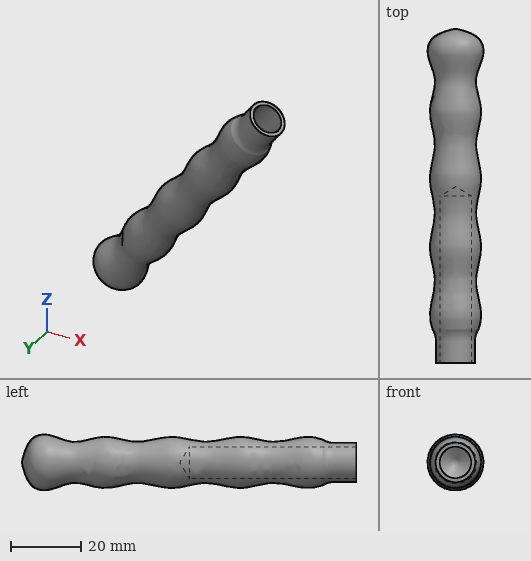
import cadquery as cq
import math

total_length = 95.0
collar_radius = 5.6
collar_length = 6.5
flare_end = 9.6
flare_end_radius = 6.6

crest_count = 4
crest_radius = 7.3
valley_radius = 5.9
first_crest = 13.5
crest_pitch = 19.5

neck_position = 80.75
knob_position = 89.1
knob_radius = 8.0
shoulder_position = 91.6
shoulder_radius = 7.1
crown_position = 93.3
crown_radius = 5.1

bore_radius = 4.5
bore_depth = 47.5
bore_tip_angle = 118.0


def flare_midpoint():
    """Middle of a concave arc that leaves the collar parallel to the axis."""
    rise = flare_end_radius - collar_radius
    run = flare_end - collar_length
    arc_radius = (rise**2 + run**2) / (2 * rise)
    half_angle = math.asin(run / arc_radius) / 2
    return (
        collar_radius + arc_radius * (1 - math.cos(half_angle)),
        collar_length + arc_radius * math.sin(half_angle),
    )


def grip_points():
    """Alternating crests and valleys as (radius, position along Y)."""
    points = []
    for i in range(crest_count):
        crest = first_crest + i * crest_pitch
        points.append((crest_radius, crest))
        is_last = i == crest_count - 1
        valley = neck_position if is_last else crest + crest_pitch / 2
        points.append((valley_radius, valley))
    return points


def make_handle():
    """Solid of revolution with a collar, flare, wavy grip and rounded knob."""
    knob_points = [
        (knob_radius, knob_position),
        (shoulder_radius, shoulder_position),
        (crown_radius, crown_position),
        (0, total_length),
    ]
    profile = (
        cq.Workplane("XY")
        .lineTo(collar_radius, 0)
        .lineTo(collar_radius, collar_length)
        .threePointArc(flare_midpoint(), (flare_end_radius, flare_end))
        .spline(grip_points() + knob_points, includeCurrent=True)
        .close()
    )
    return profile.revolve(360, (0, 0, 0), (0, 1, 0))


def make_bore():
    """Blind round bore with a conical bottom."""
    tip_height = bore_radius / math.tan(math.radians(bore_tip_angle / 2))
    profile = (
        cq.Workplane("XY")
        .lineTo(bore_radius, 0)
        .lineTo(bore_radius, bore_depth)
        .lineTo(0, bore_depth + tip_height)
        .close()
    )
    return profile.revolve(360, (0, 0, 0), (0, 1, 0))


result = make_handle().cut(make_bore())